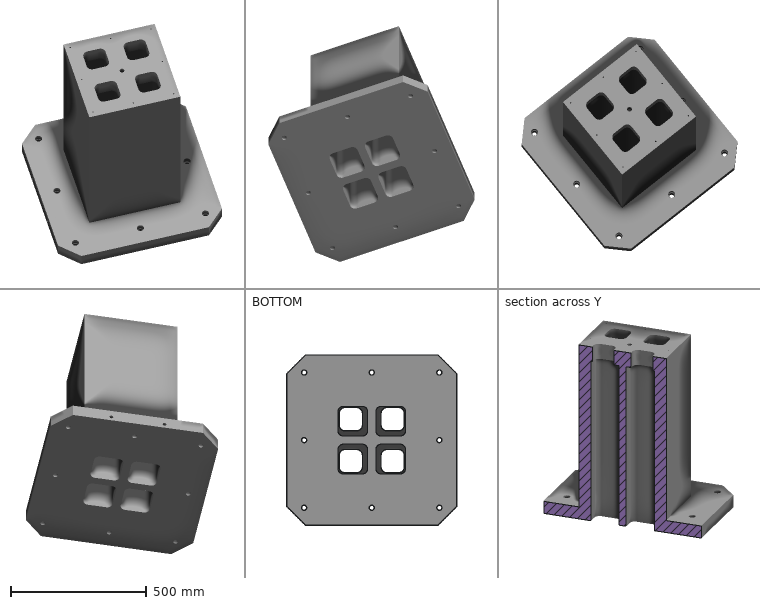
import cadquery as cq
import math

plate_side = 630.0
plate_thickness = 50.0
plate_corner_chamfer = 70.0

total_height = 700.0
column_side = 350.0

window_side = 85.0
window_offset = 77.5
window_corner_radius = 20.0
top_wall_thickness = 60.0

web_thickness = 30.0
outer_wall_thickness = 50.0
chamber_corner_radius = 20.0
chamber_side = (column_side - web_thickness) / 2 - outer_wall_thickness
chamber_offset = (web_thickness + chamber_side) / 2
chamber_height = total_height - top_wall_thickness

mount_offset = 250.0
mount_diameter = 18.0
mount_counterbore_diameter = 26.0
mount_counterbore_depth = 18.0

top_hole_offset = 155.0
top_hole_diameter = 5.0
top_hole_depth = 20.0
center_hole_diameter = 17.5
center_hole_depth = 40.0
side_hole_diameter = 14.0
side_hole_depth = 40.0
side_hole_offset = 100.0
side_hole_height = 18.0
drill_tip_angle = 118.0

down = (0, 0, -1)
inward_from_front = (0, 1, 0)


def ring_positions(half_side):
    """Corners and edge midpoints of a square with side 2 * `half_side`."""
    steps = (-half_side, 0, half_side)
    return [(x, y) for x in steps for y in steps if (x, y) != (0, 0)]


def make_body():
    plate = (
        cq.Workplane("XY")
        .rect(plate_side, plate_side)
        .extrude(plate_thickness)
        .edges("|Z")
        .chamfer(plate_corner_chamfer)
    )
    column = cq.Workplane("XY").rect(column_side, column_side).extrude(total_height)
    return plate.union(column)


def make_square_columns(side, offset, corner_radius, height):
    """Four rounded square prisms standing on the underside, one in each quadrant."""
    return (
        cq.Workplane("XY")
        .rect(2 * offset, 2 * offset, forConstruction=True)
        .vertices()
        .rect(side, side)
        .extrude(height)
        .edges("|Z")
        .fillet(corner_radius)
    )


def make_blind_holes(positions, direction, diameter, depth):
    """Drilled holes with conical bottoms, running from each position along `direction`."""
    radius = diameter / 2
    tip_length = radius / math.tan(math.radians(drill_tip_angle / 2))
    axis = cq.Vector(*direction)
    holes = cq.Workplane("XY")
    for position in positions:
        entry = cq.Vector(*position)
        bore = cq.Solid.makeCylinder(radius, depth, entry, axis)
        tip = cq.Solid.makeCone(radius, 0, tip_length, entry + axis * depth, axis)
        holes = holes.add(bore.fuse(tip))
    return holes.combine()


def make_mount_holes():
    points = ring_positions(mount_offset)
    bores = cq.Workplane("XY").pushPoints(points).circle(mount_diameter / 2).extrude(plate_thickness)
    counterbores = (
        cq.Workplane("XY", origin=(0, 0, plate_thickness))
        .pushPoints(points)
        .circle(mount_counterbore_diameter / 2)
        .extrude(-mount_counterbore_depth)
    )
    return bores.union(counterbores)


def make_top_ring_holes():
    entries = [(x, y, total_height) for x, y in ring_positions(top_hole_offset)]
    return make_blind_holes(entries, down, top_hole_diameter, top_hole_depth)


def make_center_hole():
    return make_blind_holes([(0, 0, total_height)], down, center_hole_diameter, center_hole_depth)


def make_side_holes():
    entries = [(x, -plate_side / 2, side_hole_height) for x in (-side_hole_offset, side_hole_offset)]
    return make_blind_holes(entries, inward_from_front, side_hole_diameter, side_hole_depth)


windows = make_square_columns(window_side, window_offset, window_corner_radius, total_height)
chambers = make_square_columns(chamber_side, chamber_offset, chamber_corner_radius, chamber_height)

result = (
    make_body()
    .cut(windows)
    .cut(chambers)
    .cut(make_mount_holes())
    .cut(make_top_ring_holes())
    .cut(make_center_hole())
    .cut(make_side_holes())
)